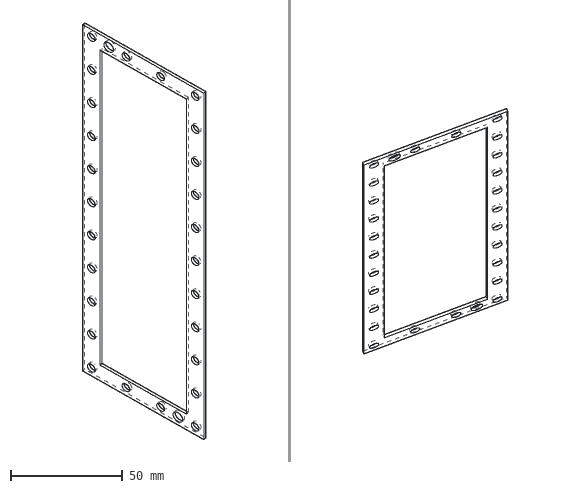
import cadquery as cq

width = 70.0
thickness = 1.5
height = 220.0
window_width = 50.0
border = (width - window_width) / 2

screw_hole_diameter = 4.5
dowel_hole_diameter = 5.5
side_intervals = 10
end_intervals = 3

hole_span_x = width - border
hole_span_z = height - border
side_pitch = hole_span_z / side_intervals
end_pitch = hole_span_x / end_intervals
side_x = hole_span_x / 2
end_z = hole_span_z / 2

screw_points = []
for row in range(side_intervals + 1):
    z = -end_z + row * side_pitch
    screw_points += [(-side_x, z), (side_x, z)]

for column in range(1, end_intervals):
    x = -side_x + column * end_pitch
    screw_points += [(x, -end_z), (x, end_z)]

dowel_x = side_x - end_pitch / 2
dowel_points = [(-dowel_x, end_z), (dowel_x, -end_z)]


def through_holes(points, diameter):
    """Cylinders along Y that pass through the frame at the given (x, z) points."""
    return cq.Workplane("XZ").pushPoints(points).circle(diameter / 2).extrude(thickness, both=True)


plate = cq.Workplane("XY").box(width, thickness, height)
window = cq.Workplane("XY").box(window_width, 2 * thickness, height - 2 * border)

result = (
    plate.cut(window)
    .cut(through_holes(screw_points, screw_hole_diameter))
    .cut(through_holes(dowel_points, dowel_hole_diameter))
)